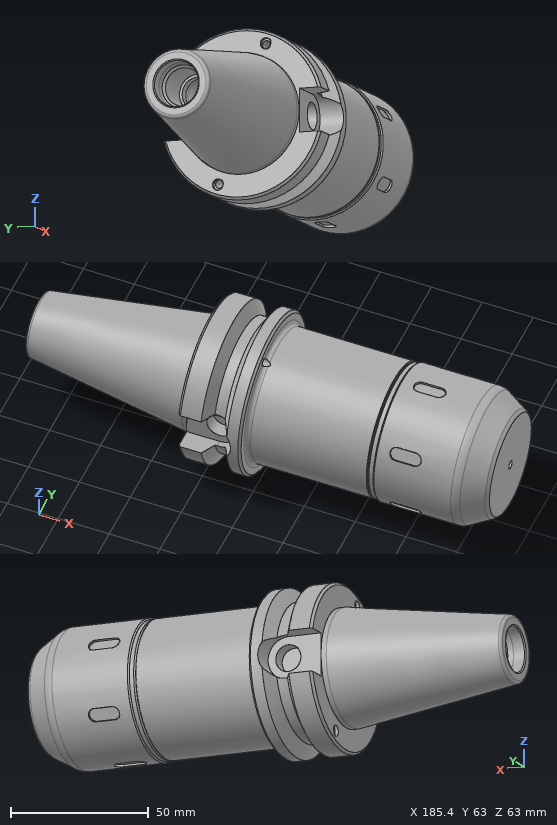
import cadquery as cq
import math

TOTAL_LENGTH = 185.4
TAPER_LENGTH = 65.5
FLANGE_START = 67.5
GROOVE_START = 76.5
GROOVE_CENTER = 81.8
FLANGE_END = 92.3
SLEEVE_END = 139.6
NUT_START = 140.0
NUT_BODY_START = 142.8

GAUGE_DIAMETER = 44.5
TAPER_RATIO = 7 / 24
SMALL_END_DIAMETER = GAUGE_DIAMETER - TAPER_RATIO * TAPER_LENGTH
SMALL_END_FILLET = 1.3

FLANGE_DIAMETER = 63.0
FLANGE_CHAMFER = 1.0
GROOVE_DIAMETER = 52.3
GROOVE_FLANK_ANGLE = 30.0

SLEEVE_DIAMETER = 52.1
SLEEVE_ROOT_FILLET = 1.9
NECK_DIAMETER = 50.8

KEYWAY_WIDTH = 16.1
KEYWAY_FLOOR = 22.5
KEYWAY_CENTER_X = 80.5
KEY_SCREW_DIAMETER = 10.0
KEY_SCREW_DEPTH = 5.5

COOLANT_INLET_RADIUS = 27.0
COOLANT_OUTLET_RADIUS = 26.7
COOLANT_JUNCTION_RADIUS = 22.8
COOLANT_ANGLE = 20.0
COOLANT_DIAMETER = 3.0
COOLANT_MOUTH_DIAMETER = 4.0
COOLANT_MOUTH_DEPTH = 1.3

BORE_MOUTH_DIAMETER = 18.0
PILOT_DIAMETER = 17.0
PILOT_DEPTH = 4.8
RELIEF_DIAMETER = 16.0
RELIEF_DEPTH = 6.9
THREAD_DIAMETER = 14.0
THREAD_START = 7.8
THREAD_END = 22.2
DRILL_DIAMETER = 12.0
DRILL_END = 26.0
CONE_MOUTH_DIAMETER = 11.0
CONE_TIP_DIAMETER = 4.0
CONE_ANGLE = 60.0
CENTER_HOLE_DIAMETER = 3.2

NUT_DIAMETER = 53.0
NUT_LAND_DIAMETER = 52.0
NUT_EDGE_CHAMFER = 0.5
NUT_LAND_CHAMFER = 0.5
NUT_CONE_START = 174.6
NUT_CONE_ANGLE = 30.0
NUT_SHOULDER_RADIUS = 6.7
NUT_FACE_DIAMETER = 39.7
NUT_FACE_CHAMFER = 1.3

SLOT_COUNT = 6
SLOT_LENGTH = 12.2
SLOT_WIDTH = 5.0
SLOT_CENTER_X = 153.7
SLOT_DEPTH = 1.0


def revolve_profile(points):
    """Revolve (x, radius) points about the X axis."""
    return cq.Workplane("XY").polyline(points).close().revolve(360, (0, 0, 0), (1, 0, 0))


def cylinder(start, direction, diameter, length):
    """A cylinder that grows from a start point along a direction."""
    return cq.Workplane(cq.Solid.makeCylinder(diameter / 2, length, cq.Vector(start), cq.Vector(direction)))


def holder_blank():
    """Taper, grooved flange, sleeve and neck as one turned shape."""
    flange_radius = FLANGE_DIAMETER / 2
    groove_radius = GROOVE_DIAMETER / 2
    sleeve_radius = SLEEVE_DIAMETER / 2
    gauge_radius = GAUGE_DIAMETER / 2
    flank_length = (flange_radius - groove_radius) * math.tan(math.radians(GROOVE_FLANK_ANGLE))
    groove_end = 2 * GROOVE_CENTER - GROOVE_START
    blank = revolve_profile([
        (0, 0),
        (0, SMALL_END_DIAMETER / 2),
        (TAPER_LENGTH, gauge_radius),
        (FLANGE_START, gauge_radius),
        (FLANGE_START, flange_radius - FLANGE_CHAMFER),
        (FLANGE_START + FLANGE_CHAMFER, flange_radius),
        (GROOVE_START, flange_radius),
        (GROOVE_START + flank_length, groove_radius),
        (groove_end - flank_length, groove_radius),
        (groove_end, flange_radius),
        (FLANGE_END - FLANGE_CHAMFER, flange_radius),
        (FLANGE_END, flange_radius - FLANGE_CHAMFER),
        (FLANGE_END, sleeve_radius),
        (SLEEVE_END, sleeve_radius),
        (SLEEVE_END, NECK_DIAMETER / 2),
        (NUT_START, NECK_DIAMETER / 2),
        (NUT_START, 0),
    ])
    blank = blank.faces("<X").edges().fillet(SMALL_END_FILLET)
    return blank.union(sleeve_root())


def sleeve_root():
    """Concave fillet ring in the corner between the flange and the sleeve."""
    inner_radius = NECK_DIAMETER / 2
    sleeve_radius = SLEEVE_DIAMETER / 2
    fillet_end = FLANGE_END + SLEEVE_ROOT_FILLET
    fillet_top = sleeve_radius + SLEEVE_ROOT_FILLET
    diagonal = SLEEVE_ROOT_FILLET * math.sqrt(0.5)
    fillet_mid = (fillet_end - diagonal, fillet_top - diagonal)
    return (
        cq.Workplane("XY")
        .moveTo(FLANGE_END, inner_radius)
        .lineTo(fillet_end, inner_radius)
        .lineTo(fillet_end, sleeve_radius)
        .threePointArc(fillet_mid, (FLANGE_END, fillet_top))
        .close()
        .revolve(360, (0, 0, 0), (1, 0, 0))
    )


def central_bore():
    """Stepped bore that narrows through a cone to the slim through hole."""
    drill_radius = DRILL_DIAMETER / 2
    cone_mouth_radius = CONE_MOUTH_DIAMETER / 2
    cone_tip_radius = CONE_TIP_DIAMETER / 2
    center_radius = CENTER_HOLE_DIAMETER / 2
    mouth_chamfer = (BORE_MOUTH_DIAMETER - PILOT_DIAMETER) / 2
    cone_start = DRILL_END + drill_radius - cone_mouth_radius
    cone_end = cone_start + (cone_mouth_radius - cone_tip_radius) / math.tan(math.radians(CONE_ANGLE / 2))
    return revolve_profile([
        (0, 0),
        (0, BORE_MOUTH_DIAMETER / 2),
        (mouth_chamfer, PILOT_DIAMETER / 2),
        (PILOT_DEPTH, PILOT_DIAMETER / 2),
        (RELIEF_DEPTH, RELIEF_DIAMETER / 2),
        (THREAD_START, THREAD_DIAMETER / 2),
        (THREAD_END, THREAD_DIAMETER / 2),
        (THREAD_END, drill_radius),
        (DRILL_END, drill_radius),
        (cone_start, cone_mouth_radius),
        (cone_end, cone_tip_radius),
        (cone_end, center_radius),
        (TOTAL_LENGTH, center_radius),
        (TOTAL_LENGTH, 0),
    ])


def keyway():
    """Drive keyway on the -Y side, with a round end and a screw hole in its floor."""
    outer_y = -FLANGE_DIAMETER / 2
    depth = FLANGE_DIAMETER / 2 - KEYWAY_FLOOR
    straight = KEYWAY_CENTER_X - FLANGE_START
    channel = cq.Workplane("XY").box(straight, depth, KEYWAY_WIDTH, centered=(False, False, True))
    channel = channel.translate((FLANGE_START, outer_y, 0))
    round_end = cylinder((KEYWAY_CENTER_X, outer_y, 0), (0, 1, 0), KEYWAY_WIDTH, depth)
    screw_hole = cylinder((KEYWAY_CENTER_X, outer_y, 0), (0, 1, 0), KEY_SCREW_DIAMETER, depth + KEY_SCREW_DEPTH)
    return channel.union(round_end).union(screw_hole)


def coolant_channel():
    """Two inclined drillings that meet under the groove, in the plane Y = 0 above the axis."""
    junction = cq.Vector(GROOVE_CENTER, 0, COOLANT_JUNCTION_RADIUS)
    inlet = cq.Vector(FLANGE_START, 0, COOLANT_INLET_RADIUS)
    outlet = cq.Vector(FLANGE_END, 0, COOLANT_OUTLET_RADIUS)
    breakout = 2 * COOLANT_DIAMETER
    front_run = inlet - junction
    rear_run = outlet - junction
    front = cylinder(junction, front_run, COOLANT_DIAMETER, front_run.Length)
    rear = cylinder(junction, rear_run, COOLANT_DIAMETER, rear_run.Length + breakout)
    mouth = cylinder(inlet, cq.Vector(1, 0, 0), COOLANT_MOUTH_DIAMETER, COOLANT_MOUTH_DEPTH)
    return front.union(rear).union(mouth)


def make_holder():
    holder = holder_blank().cut(central_bore())
    for side in (0, 180):
        holder = holder.cut(keyway().rotate((0, 0, 0), (1, 0, 0), side))
        holder = holder.cut(coolant_channel().rotate((0, 0, 0), (1, 0, 0), COOLANT_ANGLE + side))
    return holder


def nut_blank():
    """Turned nut with a stepped rear edge, rounded shoulder and conical nose."""
    nut_radius = NUT_DIAMETER / 2
    face_radius = NUT_FACE_DIAMETER / 2
    cone_end = TOTAL_LENGTH - NUT_FACE_CHAMFER
    slope = math.radians(NUT_CONE_ANGLE)
    cone_end_radius = nut_radius - (cone_end - NUT_CONE_START) * math.tan(slope)
    tangent_length = NUT_SHOULDER_RADIUS * math.tan(slope / 2)
    shoulder_start = NUT_CONE_START - tangent_length
    shoulder_mid = (
        shoulder_start + NUT_SHOULDER_RADIUS * math.sin(slope / 2),
        nut_radius - NUT_SHOULDER_RADIUS * (1 - math.cos(slope / 2)),
    )
    shoulder_end = (
        NUT_CONE_START + tangent_length * math.cos(slope),
        nut_radius - tangent_length * math.sin(slope),
    )
    return (
        cq.Workplane("XY")
        .moveTo(NUT_START, CENTER_HOLE_DIAMETER / 2)
        .lineTo(NUT_START, NUT_LAND_DIAMETER / 2 - NUT_LAND_CHAMFER)
        .lineTo(NUT_START + NUT_LAND_CHAMFER, NUT_LAND_DIAMETER / 2)
        .lineTo(NUT_BODY_START - NUT_EDGE_CHAMFER, NUT_LAND_DIAMETER / 2)
        .lineTo(NUT_BODY_START, nut_radius)
        .lineTo(shoulder_start, nut_radius)
        .threePointArc(shoulder_mid, shoulder_end)
        .lineTo(cone_end, cone_end_radius)
        .lineTo(TOTAL_LENGTH, face_radius)
        .lineTo(TOTAL_LENGTH, CENTER_HOLE_DIAMETER / 2)
        .close()
        .revolve(360, (0, 0, 0), (1, 0, 0))
    )


def wrench_slot():
    """Flat-floored slot on the +Z side of the nut."""
    return (
        cq.Workplane("XY", origin=(SLOT_CENTER_X, 0, NUT_DIAMETER / 2 - SLOT_DEPTH))
        .slot2D(SLOT_LENGTH, SLOT_WIDTH)
        .extrude(2 * SLOT_DEPTH)
    )


def make_nut():
    nut = nut_blank()
    for index in range(SLOT_COUNT):
        nut = nut.cut(wrench_slot().rotate((0, 0, 0), (1, 0, 0), index * 360 / SLOT_COUNT))
    return nut


holder = make_holder()
nut = make_nut()
result = cq.Compound.makeCompound([holder.solids().val(), nut.solids().val()])